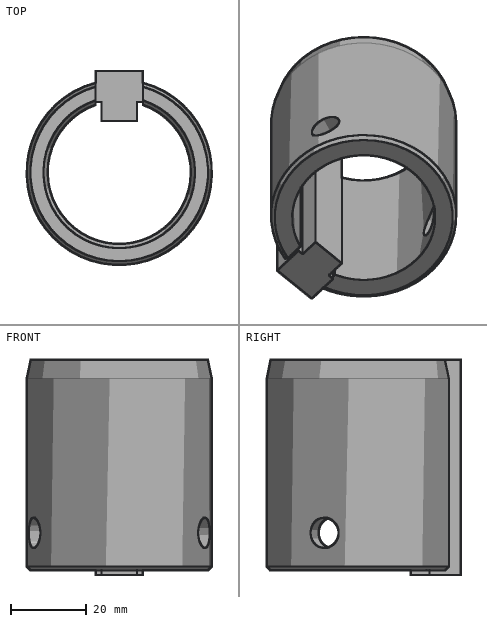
import cadquery as cq
import math

key_length = 57.15
sleeve_height = 55.9
top_z = key_length
sleeve_bottom_z = top_z - sleeve_height

outer_radius = 24.605
bore_radius = 19.0
lead_in_height = 5.05
lead_in_depth = 1.05
edge_chamfer = 1.0
bore_chamfer_width = 1.15
bore_chamfer_height = 2.0

key_head_width = 12.6
key_head_depth = 8.3
key_web_width = 9.5
key_depth = 13.3
overall_depth = 51.55
key_outer_y = overall_depth - outer_radius
key_shoulder_y = key_outer_y - key_head_depth
key_inner_y = key_outer_y - key_depth

hole_diameter = 8.0
hole_z = 11.2
hole_angle = 22.3


def box_between(width, y_min, y_max, z_min, z_max):
    """Block centred on X = 0."""
    return (
        cq.Workplane("XY", origin=(0, (y_min + y_max) / 2, z_min))
        .rect(width, y_max - y_min)
        .extrude(z_max - z_min)
    )


def make_radial_hole(angle):
    """Cutter running outward from the sleeve axis at the given angle about Z."""
    direction = cq.Vector(math.cos(math.radians(angle)), math.sin(math.radians(angle)), 0)
    start = cq.Vector(0, 0, hole_z)
    return cq.Solid.makeCylinder(hole_diameter / 2, 2 * outer_radius, start, direction)


def make_sleeve():
    """Turned ring with a tapered top, chamfered edges, key slot and two radial holes."""
    profile = [
        (bore_radius, sleeve_bottom_z),
        (outer_radius - edge_chamfer, sleeve_bottom_z),
        (outer_radius, sleeve_bottom_z + edge_chamfer),
        (outer_radius, top_z - lead_in_height),
        (outer_radius - lead_in_depth, top_z),
        (bore_radius + bore_chamfer_width, top_z),
        (bore_radius, top_z - bore_chamfer_height),
    ]
    sleeve = cq.Workplane("XZ").polyline(profile).close().revolve(360, (0, 0), (0, 1))

    slot = box_between(key_head_width, 0, key_outer_y, sleeve_bottom_z, top_z)
    sleeve = sleeve.cut(slot)

    for angle in (-hole_angle, 180 + hole_angle):
        sleeve = sleeve.cut(cq.Workplane(make_radial_hole(angle)))
    return sleeve


def make_key():
    """Key with a wide head in the slot and a narrower web reaching into the bore."""
    head = box_between(key_head_width, key_shoulder_y, key_outer_y, 0, key_length)
    web = box_between(key_web_width, key_inner_y, key_shoulder_y, 0, key_length)
    return head.union(web)


sleeve = make_sleeve()
key = make_key()

result = cq.Compound.makeCompound([sleeve.val(), key.val()])